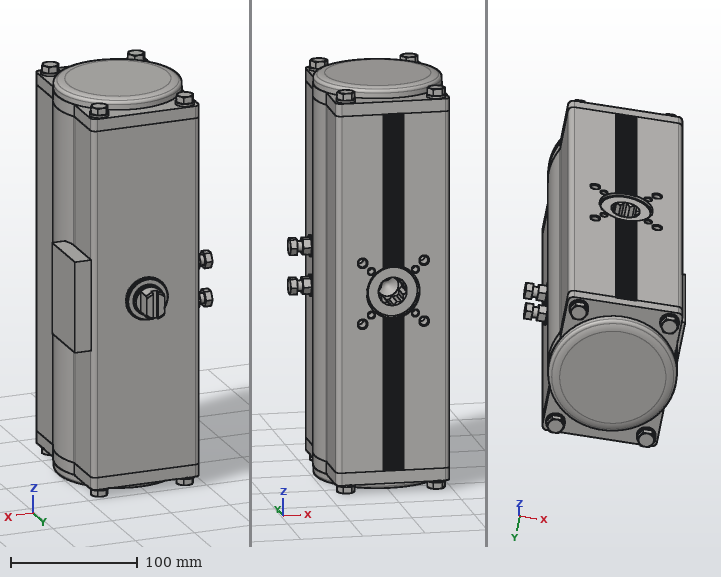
import cadquery as cq
import math


half_length = 163.5
half_width = 45.8
half_depth = 61.5
bulge_radius = 51.0
corner_radius = 4.2
bulge_blend_radius = 5.0
housing_half_length = 144.8

strip_width = 16.7
groove_count = 16
groove_pitch = strip_width / groove_count
groove_depth = 0.5

hole_depth = 13.0
drill_point_angle = 118.0
large_hole_circle = 70.0
large_hole_diameter = 6.5
large_countersink_diameter = 8.2
small_hole_circle = 50.0
small_hole_diameter = 5.0
small_countersink_diameter = 6.2

plate_top = 155.0
dome_radius = 50.5
dome_fillet = 2.5
dome_rim_radius = dome_radius - dome_fillet
dome_rim_drop = 1.3
dome_flat_radius = 41.8

hex_flats = 12.5
hex_corners = hex_flats / math.cos(math.pi / 6)

screw_x = 36.3
screw_y = 52.3
washer_diameter = 15.0
washer_height = 2.0
screw_face_diameter = 12.0
screw_top = 162.5

recess_diameter = 42.5
recess_depth = 2.5
shaft_end = 81.7
pinion_diameter = 39.5
pinion_front = recess_depth - half_depth
pinion_back = 52.3
journal_diameter = 23.0
shoulder_diameter = 25.0
shoulder_start = 64.7
shoulder_end = 68.3
shoulder_chamfer = (shoulder_diameter - journal_diameter) / 2
flats_start = shoulder_end
flats_width = 15.0
shaft_chamfer = 1.3
slot_width = 4.2
slot_depth = 4.0

socket_flats = 17.5
socket_tip_diameter = 23.0
socket_mouth_chamfer = 2.3
socket_depth = 19.5
socket_bore_diameter = 17.3

collar_diameter = 35.0
collar_height = shoulder_start - half_depth
knurl_count = 72
knurl_depth = 0.5
collar_chamfer = 1.0

fitting_y = 36.3
fitting_z = 16.0
flange_diameter = 17.3
flange_thickness = 1.0
nut_end = 53.3
neck_diameter = 8.5
head_start = 58.0
fitting_end = 63.5
fitting_face_diameter = 13.0

block_inner_x = 46.7
block_outer_x = 60.5
block_low_y = 12.5
block_half_height = 38.0


def body_section(z, length):
    """Rectangle with rounded corners, extruded from height z, merged with the round bulge."""
    box = (
        cq.Workplane("XY", origin=(0, 0, z))
        .rect(2 * half_width, 2 * half_depth)
        .extrude(length)
        .edges("|Z")
        .fillet(corner_radius)
    )
    bulge = cq.Workplane("XY", origin=(0, 0, z)).circle(bulge_radius).extrude(length)
    return box.union(bulge)


def turned_along_y(points):
    """Solid of revolution around Y from (radius, y) points."""
    return cq.Workplane("XY").polyline(points).close().revolve(360, (0, 0, 0), (0, 1, 0))


def drill_tip(diameter):
    """Height of the cone left by a drill."""
    return diameter / 2 / math.tan(math.radians(drill_point_angle / 2))


def countersunk_hole(x, z, diameter, countersink_diameter):
    """Cutter for a blind hole in the front face."""
    radius = diameter / 2
    rim = countersink_diameter / 2
    bottom = hole_depth - half_depth
    cutter = turned_along_y([
        (0, -half_depth),
        (rim, -half_depth),
        (radius, -half_depth + rim - radius),
        (radius, bottom),
        (0, bottom + drill_tip(diameter)),
    ])
    return cutter.translate((x, 0, z))


def hexagon_head(height, face_diameter):
    """Upright hexagon whose top corners are turned down to a round face."""
    trim = (hex_corners - face_diameter) / 2
    envelope = cq.Workplane("XY").circle(hex_corners / 2).extrude(height).faces(">Z").chamfer(trim / 2, trim)
    return cq.Workplane("XY").polygon(6, hex_corners).extrude(height).intersect(envelope)


def make_shaft():
    pinion_radius = pinion_diameter / 2
    journal_radius = journal_diameter / 2
    shoulder_radius = shoulder_diameter / 2
    shaft = turned_along_y([
        (0, pinion_front),
        (pinion_radius, pinion_front),
        (pinion_radius, pinion_back),
        (journal_radius, pinion_back),
        (journal_radius, shoulder_start),
        (shoulder_radius, shoulder_start),
        (shoulder_radius, shoulder_end - shoulder_chamfer),
        (journal_radius, shoulder_end),
        (journal_radius, shaft_end - shaft_chamfer),
        (journal_radius - shaft_chamfer, shaft_end),
        (0, shaft_end),
    ])

    flats_length = shaft_end - flats_start
    flat_cut = (
        cq.Workplane("XY")
        .box(journal_diameter, flats_length, journal_diameter, centered=(False, False, True))
        .translate((flats_width / 2, flats_start, 0))
    )
    slot = (
        cq.Workplane("XY")
        .box(slot_width, slot_depth, journal_diameter)
        .translate((0, shaft_end - slot_depth / 2, 0))
    )
    shaft = shaft.cut(flat_cut).cut(flat_cut.mirror("YZ")).cut(slot)

    front = cq.Workplane("XZ", origin=(0, pinion_front, 0))
    star = front.rect(socket_flats, socket_flats).extrude(-socket_depth)
    star = star.union(star.rotate((0, 0, 0), (0, 1, 0), 45))
    star = star.intersect(front.circle(socket_tip_diameter / 2).extrude(-socket_depth))
    socket_bottom = pinion_front + socket_depth
    point = turned_along_y([
        (0, socket_bottom),
        (socket_bore_diameter / 2, socket_bottom),
        (0, socket_bottom + drill_tip(socket_bore_diameter)),
    ])
    tip_radius = socket_tip_diameter / 2
    mouth = turned_along_y([
        (0, pinion_front),
        (tip_radius, pinion_front),
        (tip_radius - socket_mouth_chamfer, pinion_front + socket_mouth_chamfer),
        (0, pinion_front + socket_mouth_chamfer),
    ])
    return shaft.cut(star).cut(point).cut(mouth)


def make_housing():
    housing = body_section(-housing_half_length, 2 * housing_half_length)

    blend_y = math.sqrt(bulge_radius**2 - half_width**2)
    for x in (-half_width, half_width):
        for y in (-blend_y, blend_y):
            corner = cq.selectors.NearestToPointSelector((x, y, 0))
            housing = housing.edges(corner).fillet(bulge_blend_radius)

    for i in range(groove_count):
        x = (i - (groove_count - 1) / 2) * groove_pitch
        groove = (
            cq.Workplane("XY", origin=(x, -half_depth, -housing_half_length))
            .polyline([(-groove_pitch / 2, 0), (groove_pitch / 2, 0), (0, groove_depth)])
            .close()
            .extrude(2 * housing_half_length)
        )
        housing = housing.cut(groove)

    front = cq.Workplane("XZ", origin=(0, -half_depth, 0))
    housing = housing.cut(front.circle(recess_diameter / 2).extrude(-recess_depth))
    housing = housing.cut(front.circle(pinion_diameter / 2).extrude(-half_depth - pinion_back))
    housing = housing.cut(front.circle(journal_diameter / 2).extrude(-2 * half_depth))

    hole_sets = (
        (large_hole_circle, large_hole_diameter, large_countersink_diameter),
        (small_hole_circle, small_hole_diameter, small_countersink_diameter),
    )
    for circle, diameter, countersink_diameter in hole_sets:
        offset = circle / 2 * math.sin(math.pi / 4)
        for x in (-offset, offset):
            for z in (-offset, offset):
                housing = housing.cut(countersunk_hole(x, z, diameter, countersink_diameter))
    return housing


def make_upper_cap():
    """Plate with a round dome and four screws, all one body."""
    cap = body_section(housing_half_length, plate_top - housing_half_length)
    rim_z = half_length - dome_rim_drop
    fillet_center_z = rim_z - dome_fillet
    fillet_mid = (
        dome_rim_radius + dome_fillet * math.sin(math.pi / 4),
        fillet_center_z + dome_fillet * math.sin(math.pi / 4),
    )
    band_width = dome_rim_radius - dome_flat_radius
    band_mid = (dome_flat_radius + band_width / 2, half_length - dome_rim_drop / 4)
    dome = (
        cq.Workplane("XZ")
        .moveTo(0, plate_top)
        .lineTo(dome_radius, plate_top)
        .lineTo(dome_radius, fillet_center_z)
        .threePointArc(fillet_mid, (dome_rim_radius, rim_z))
        .threePointArc(band_mid, (dome_flat_radius, half_length))
        .lineTo(0, half_length)
        .close()
        .revolve(360, (0, 0, 0), (0, 1, 0))
    )
    cap = cap.union(dome)
    washer_top = plate_top + washer_height
    for x in (-screw_x, screw_x):
        for y in (-screw_y, screw_y):
            washer = cq.Workplane("XY", origin=(x, y, plate_top)).circle(washer_diameter / 2)
            head = hexagon_head(screw_top - washer_top, screw_face_diameter).translate((x, y, washer_top))
            cap = cap.union(washer.extrude(washer_height)).union(head)
    return cap


def make_collar():
    """Knurled ring standing on the back face around the shaft."""
    outer = collar_diameter / 2
    outline = []
    for i in range(2 * knurl_count):
        radius = outer - knurl_depth * (i % 2)
        angle = math.pi * i / knurl_count
        outline.append((radius * math.cos(angle), radius * math.sin(angle)))
    back = cq.Workplane("XZ", origin=(0, half_depth, 0))
    hole = back.circle(journal_diameter / 2).extrude(-collar_height)
    envelope = back.circle(outer).extrude(-collar_height).faces(">Y").chamfer(collar_chamfer)
    return back.polyline(outline).close().extrude(-collar_height).intersect(envelope).cut(hole)


def make_fitting(z):
    """Flange, nut, neck and hexagon head standing out from the left side."""
    def cylinder(start, end, diameter):
        return (
            cq.Workplane("YZ", origin=(-start, fitting_y, z))
            .circle(diameter / 2)
            .extrude(start - end)
        )

    flange_end = half_width + flange_thickness
    flange = cylinder(half_width, flange_end, flange_diameter)
    neck = cylinder(flange_end, head_start, neck_diameter)

    def hexagon(start, end):
        prism = hexagon_head(end - start, fitting_face_diameter)
        outward = prism.rotate((0, 0, 0), (0, 0, 1), 90).rotate((0, 0, 0), (0, 1, 0), -90)
        return outward.translate((-start, fitting_y, z))

    nut = hexagon(flange_end, nut_end)
    head = hexagon(head_start, fitting_end)
    return flange.union(neck).union(nut).union(head)


def make_side_block(housing):
    """Plain block on the right side, fitted to the bulge of the housing."""
    thickness = block_outer_x - block_inner_x
    height = half_depth - block_low_y
    block = (
        cq.Workplane("XY")
        .box(thickness, height, 2 * block_half_height, centered=(False, False, True))
        .translate((block_inner_x, block_low_y, 0))
    )
    return block.cut(housing)


housing = make_housing()
upper_cap = make_upper_cap()
lower_cap = upper_cap.mirror("XY")
shaft = make_shaft()
collar = make_collar()
fittings = [make_fitting(z) for z in (-fitting_z, fitting_z)]
side_block = make_side_block(housing)

result = cq.Compound.makeCompound([
    housing.val(),
    upper_cap.val(),
    lower_cap.val(),
    shaft.val(),
    collar.val(),
    *[fitting.val() for fitting in fittings],
    side_block.val(),
])